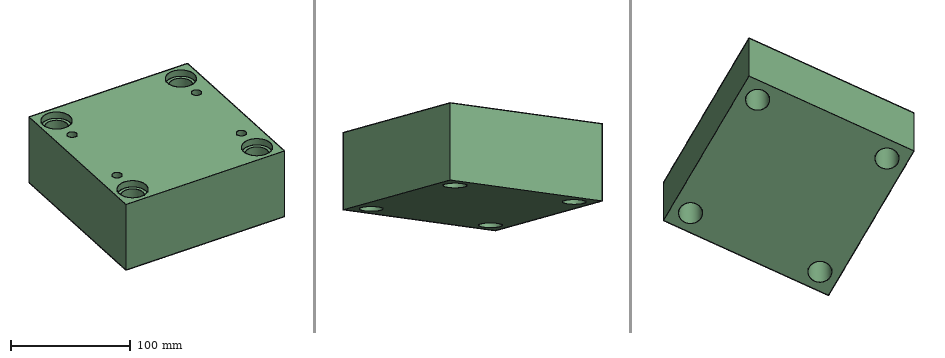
import cadquery as cq
import math

SIDE = 155.7
HEIGHT = 66.0

CORNER_SPACING = 122.0
BORE_DIAMETER = 20.0
COUNTERBORE_DIAMETER = 26.0
COUNTERBORE_DEPTH = 6.3

DRILL_SPACING_X = 72.0
DRILL_DIAMETER = 8.5
DRILL_DEPTH = 20.0
DRILL_POINT_ANGLE = 118.0


def make_block():
    """Square block standing on Z = 0, centred on the Z axis."""
    return cq.Workplane("XY").box(SIDE, SIDE, HEIGHT, centered=(True, True, False))


def cut_corner_holes(body):
    """Four through holes, counterbored from the top face."""
    return (
        body.faces(">Z")
        .workplane(origin=(0, 0, HEIGHT))
        .rarray(CORNER_SPACING, CORNER_SPACING, 2, 2)
        .cboreHole(BORE_DIAMETER, COUNTERBORE_DIAMETER, COUNTERBORE_DEPTH)
    )


def make_drill():
    """Drill-shaped cutter: a cylinder below the top face ending in a conical point."""
    radius = DRILL_DIAMETER / 2
    point_height = radius / math.tan(math.radians(DRILL_POINT_ANGLE / 2))
    half_profile = [
        (0, HEIGHT),
        (radius, HEIGHT),
        (radius, HEIGHT - DRILL_DEPTH),
        (0, HEIGHT - DRILL_DEPTH - point_height),
    ]
    return cq.Workplane("XZ").polyline(half_profile).close().revolve(360, (0, 0), (0, 1))


def cut_drilled_holes(body):
    """Four blind holes with conical bottoms, two in each row."""
    drill = make_drill()
    for x_side in (-1, 1):
        for y_side in (-1, 1):
            position = (x_side * DRILL_SPACING_X / 2, y_side * CORNER_SPACING / 2, 0)
            body = body.cut(drill.translate(position))
    return body


result = cut_drilled_holes(cut_corner_holes(make_block()))